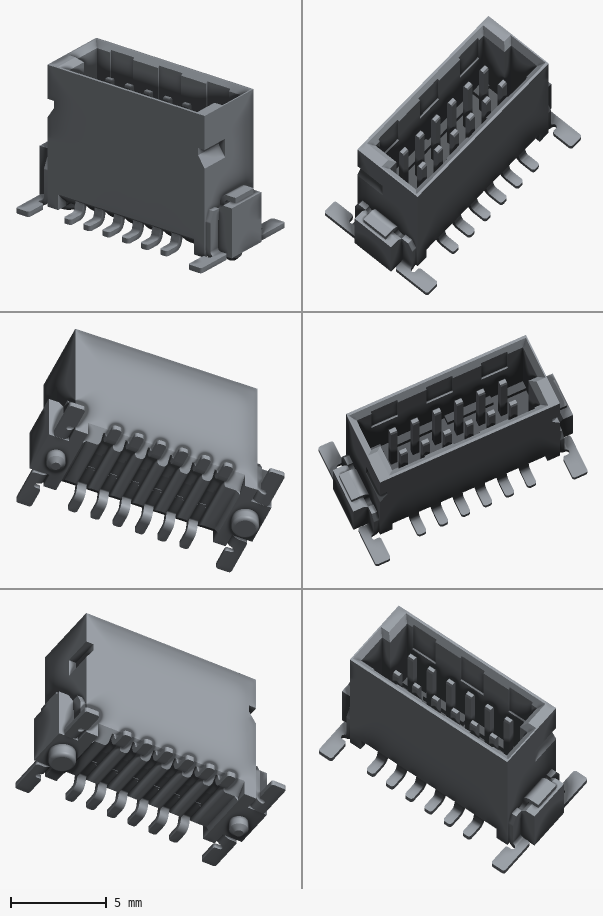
import cadquery as cq
import math

HOUSING_X = 10.36
HOUSING_Y = 4.2
HOUSING_TOP = 8.27
FOOT_BOTTOM = 0.09
HOUSING_HALF_X = HOUSING_X / 2
HOUSING_HALF_Y = HOUSING_Y / 2

CAVITY_HALF_X = 4.79
CAVITY_HALF_Y = 1.63
KEY_HALF_X = 4.27
KEY_EDGE_Y = -0.16
CAVITY_FLOOR = 2.28
RIM_CHAMFER = 0.32

RECESS_STATIONS = (-3.17, 0.0, 3.17)
RECESS_WIDTH = 1.52
RECESS_DEPTH = 0.1
RECESS_BOTTOM = 5.78
LEDGE_DEPTH = 0.42
LEDGE_HEIGHT = 0.38
LEDGE_GAP = 0.53

NOTCH_TOP = 6.31
NOTCH_RAMP_TOP = 5.89
NOTCH_BOTTOM = 5.23
NOTCH_DEPTH = 0.43
NOTCH_INNER_Y = -0.34

FOOT_INNER_X = 4.47
FOOT_CHAMFER_X = 0.2
COMB_BOTTOM = 0.33
SKIRT_BOTTOM = 0.99
SLOT_WIDTH = 0.68
SLOT_TOP = 0.82
SLOT_LIP_RADIUS = 0.19

PITCH = 1.27
CONTACTS_PER_ROW = 6
ROW_Y = PITCH / 2
SHEET = 0.3
PIN_X = 0.38
PIN_Y = 0.33
PIN_TOP = 7.05
PIN_TIP_Y = 0.06
PIN_TIP_Z = 0.13
LEAD_WIDTH = 0.52
LEAD_TIP_Y = 3.04
LEAD_TIP_RADIUS = 0.16
LEAD_SHELF_TOP = 1.09
LEAD_FOOT_Y = 2.1
LEAD_SLOPE = 75.0
LEAD_LOWER_BEND = 0.2
LEAD_UPPER_BEND = 0.08

BLOCK_OUTER_X = 6.34
BLOCK_HALF_Y = 1.27
BLOCK_TOP = 2.96
BLOCK_CHAMFER = 0.28

CLIP_HALF_Y = 2.0
CLIP_TOP = 2.72
CLIP_CORNER_Y = 0.28
CLIP_CORNER_Z = 0.58
CLIP_CORNER_RADIUS = 0.18
CLIP_SLOT_HALF_Y = 1.34
CLIP_SLOT_TOP = 2.07
BEND_INNER = 0.2
BEND_OUTER = BEND_INNER + SHEET
CLIP_OUTER_X = HOUSING_HALF_X + SHEET
TAB_HALF_Y = 0.77
TAB_TOP = 3.35
TAB_END_X = 6.21
PAD_INNER_X = 5.25
PAD_OUTER_X = 6.12
PAD_END_Y = 3.6
PAD_RADIUS = 0.14
RELIEF_RADIUS = 0.14

PEG_X = 5.38
PEG_BOTTOM = -0.67
PEG_EDGE_HEIGHT = 0.25
LARGE_PEG_DIAMETER = 1.45
LARGE_PEG_EDGE_INSET = 0.16
SMALL_PEG_DIAMETER = 1.0

CONTACT_STATIONS = [(i - (CONTACTS_PER_ROW - 1) / 2) * PITCH for i in range(CONTACTS_PER_ROW)]


def block(x0, x1, y0, y1, z0, z1):
    """Axis-aligned box between two opposite corners."""
    return cq.Workplane("XY").box(x1 - x0, y1 - y0, z1 - z0, centered=False).translate((x0, y0, z0))


def extrude_along_x(yz_profile, x0, x1):
    return yz_profile.extrude(x1 - x0).translate((x0, 0, 0))


def extrude_along_y(xz_profile, y0, y1):
    """Extrude a profile drawn on the XZ plane, whose normal is -Y."""
    return xz_profile.extrude(y1 - y0).translate((0, y1, 0))


def both_sides(shape, plane):
    return shape.union(shape.mirror(plane))


def polar(center_a, center_b, radius, degrees):
    angle = math.radians(degrees)
    return (center_a + radius * math.cos(angle), center_b + radius * math.sin(angle))


def cavity_outline(workplane, spread=0):
    """Cavity outline with every side moved outward by the spread."""
    wide_x = CAVITY_HALF_X + spread
    narrow_x = KEY_HALF_X + spread
    half_y = CAVITY_HALF_Y + spread
    key_y = KEY_EDGE_Y - spread
    return workplane.polyline([
        (-wide_x, half_y),
        (-wide_x, key_y),
        (-narrow_x, key_y),
        (-narrow_x, -half_y),
        (narrow_x, -half_y),
        (narrow_x, key_y),
        (wide_x, key_y),
        (wide_x, half_y),
    ]).close()


def cavity():
    """Void of the mating cavity with its flared rim, wall recesses and floor ledges."""
    chamfer_bottom = HOUSING_TOP - RIM_CHAMFER
    void = cavity_outline(cq.Workplane("XY", (0, 0, CAVITY_FLOOR))).extrude(HOUSING_TOP - CAVITY_FLOOR)
    flare = cavity_outline(cq.Workplane("XY", (0, 0, chamfer_bottom)))
    flare = cavity_outline(flare.workplane(offset=RIM_CHAMFER), RIM_CHAMFER).loft(ruled=True)
    void = void.union(flare)
    recess_y = CAVITY_HALF_Y + RECESS_DEPTH
    recess_top = chamfer_bottom + RECESS_DEPTH
    for x in RECESS_STATIONS:
        half = RECESS_WIDTH / 2
        void = void.union(block(x - half, x + half, -recess_y, recess_y, RECESS_BOTTOM, recess_top))
    ledge = block(-CAVITY_HALF_X, CAVITY_HALF_X, CAVITY_HALF_Y - LEDGE_DEPTH, CAVITY_HALF_Y,
                  CAVITY_FLOOR, CAVITY_FLOOR + LEDGE_HEIGHT)
    for x in RECESS_STATIONS:
        half = LEDGE_GAP / 2
        ledge = ledge.cut(block(x - half, x + half, 0, HOUSING_HALF_Y, CAVITY_FLOOR, HOUSING_TOP))
    return void.cut(both_sides(ledge, "XZ"))


def latch_notch():
    """Undercut with a ramped floor in the -X end wall, open to the -Y side."""
    inner_x = -HOUSING_HALF_X + NOTCH_DEPTH
    profile = cq.Workplane("XZ").polyline([
        (-HOUSING_HALF_X, NOTCH_TOP),
        (inner_x, NOTCH_TOP),
        (inner_x, NOTCH_RAMP_TOP),
        (-HOUSING_HALF_X, NOTCH_BOTTOM),
    ]).close()
    return extrude_along_y(profile, -HOUSING_HALF_Y, NOTCH_INNER_Y)


def underside_relief():
    """Recess between the feet, with a 45 degree slope behind each long wall."""
    profile = cq.Workplane("XZ").polyline([
        (-FOOT_INNER_X, FOOT_BOTTOM),
        (-FOOT_INNER_X + FOOT_CHAMFER_X, COMB_BOTTOM),
        (FOOT_INNER_X - FOOT_CHAMFER_X, COMB_BOTTOM),
        (FOOT_INNER_X, FOOT_BOTTOM),
    ]).close()
    relief = extrude_along_y(profile, -HOUSING_HALF_Y, HOUSING_HALF_Y)
    slope_inner_y = HOUSING_HALF_Y - (SKIRT_BOTTOM - COMB_BOTTOM)
    slope = cq.Workplane("YZ").polyline([
        (HOUSING_HALF_Y, SKIRT_BOTTOM),
        (slope_inner_y, COMB_BOTTOM),
        (slope_inner_y, FOOT_BOTTOM),
        (HOUSING_HALF_Y, FOOT_BOTTOM),
    ]).close()
    return relief.union(both_sides(extrude_along_x(slope, -FOOT_INNER_X, FOOT_INNER_X), "XZ"))


def contact_slot(x):
    """Slot across the underside for one pair of contacts, with rounded lips."""
    half = SLOT_WIDTH / 2
    lip = SLOT_LIP_RADIUS
    lip_mid_x, lip_mid_z = polar(half + lip, COMB_BOTTOM + lip, lip, 225)
    profile = (
        cq.Workplane("XZ")
        .moveTo(-half - lip, COMB_BOTTOM)
        .threePointArc((-lip_mid_x, lip_mid_z), (-half, COMB_BOTTOM + lip))
        .lineTo(-half, SLOT_TOP)
        .lineTo(half, SLOT_TOP)
        .lineTo(half, COMB_BOTTOM + lip)
        .threePointArc((lip_mid_x, lip_mid_z), (half + lip, COMB_BOTTOM))
        .close()
    )
    return extrude_along_y(profile, -HOUSING_HALF_Y, HOUSING_HALF_Y).translate((x, 0, 0))


def housing():
    body = block(-HOUSING_HALF_X, HOUSING_HALF_X, -HOUSING_HALF_Y, HOUSING_HALF_Y, FOOT_BOTTOM, HOUSING_TOP)
    body = body.cut(cavity())
    body = body.cut(both_sides(latch_notch(), "YZ"))
    body = body.cut(underside_relief())
    for x in CONTACT_STATIONS:
        body = body.cut(contact_slot(x))
    return body


def contact():
    """One contact of the +Y row: upright pin, shelf under the floor and gull-wing lead."""
    tip_half = PIN_Y / 2 - PIN_TIP_Y
    pin = cq.Workplane("YZ").polyline([
        (ROW_Y - PIN_Y / 2, LEAD_SHELF_TOP - SHEET),
        (ROW_Y - PIN_Y / 2, PIN_TOP - PIN_TIP_Z),
        (ROW_Y - tip_half, PIN_TOP),
        (ROW_Y + tip_half, PIN_TOP),
        (ROW_Y + PIN_Y / 2, PIN_TOP - PIN_TIP_Z),
        (ROW_Y + PIN_Y / 2, LEAD_SHELF_TOP - SHEET),
    ]).close()
    pin = extrude_along_x(pin, -PIN_X / 2, PIN_X / 2)

    rise = LEAD_SHELF_TOP - SHEET
    run = rise / math.tan(math.radians(LEAD_SLOPE))
    underside_shift = SHEET * math.tan(math.radians(LEAD_SLOPE / 2))
    lead = cq.Workplane("YZ").polyline([
        (ROW_Y, LEAD_SHELF_TOP),
        (LEAD_FOOT_Y - run, LEAD_SHELF_TOP),
        (LEAD_FOOT_Y, SHEET),
        (LEAD_TIP_Y, SHEET),
        (LEAD_TIP_Y, 0),
        (LEAD_FOOT_Y - underside_shift, 0),
        (LEAD_FOOT_Y - run - underside_shift, rise),
        (ROW_Y, rise),
    ]).close()
    lead = extrude_along_x(lead, -LEAD_WIDTH / 2, LEAD_WIDTH / 2)
    lead = lead.edges("|Z and >Y").fillet(LEAD_TIP_RADIUS)

    bends = [
        (LEAD_FOOT_Y, SHEET, LEAD_LOWER_BEND),
        (LEAD_FOOT_Y - underside_shift, 0, LEAD_LOWER_BEND + SHEET),
        (LEAD_FOOT_Y - run - underside_shift, rise, LEAD_UPPER_BEND),
        (LEAD_FOOT_Y - run, LEAD_SHELF_TOP, LEAD_UPPER_BEND + SHEET),
    ]
    for y, z, radius in bends:
        bend_edge = cq.selectors.NearestToPointSelector((0, y, z))
        lead = lead.edges(bend_edge).fillet(radius)
    return pin.union(lead)


def end_block():
    """Block outside the clip, joined to the end wall through the clip's slot."""
    outer = block(-BLOCK_OUTER_X, -CLIP_OUTER_X, -BLOCK_HALF_Y, BLOCK_HALF_Y, FOOT_BOTTOM, BLOCK_TOP)
    outer = outer.edges(">X and >Z").chamfer(BLOCK_CHAMFER)
    neck = block(-CLIP_OUTER_X, -HOUSING_HALF_X, -BLOCK_HALF_Y, BLOCK_HALF_Y, FOOT_BOTTOM, CLIP_SLOT_TOP)
    return outer.union(neck)


def clip_plate():
    """Upright plate against the end wall, forked around the block's neck."""
    plate = cq.Workplane("YZ").polyline([
        (-CLIP_HALF_Y, BEND_OUTER),
        (-CLIP_HALF_Y, CLIP_TOP - CLIP_CORNER_Z),
        (-CLIP_HALF_Y + CLIP_CORNER_Y, CLIP_TOP),
        (CLIP_HALF_Y - CLIP_CORNER_Y, CLIP_TOP),
        (CLIP_HALF_Y, CLIP_TOP - CLIP_CORNER_Z),
        (CLIP_HALF_Y, BEND_OUTER),
        (CLIP_SLOT_HALF_Y, BEND_OUTER),
        (CLIP_SLOT_HALF_Y, CLIP_SLOT_TOP),
        (-CLIP_SLOT_HALF_Y, CLIP_SLOT_TOP),
        (-CLIP_SLOT_HALF_Y, BEND_OUTER),
    ]).close()
    plate = extrude_along_x(plate, -CLIP_OUTER_X, -HOUSING_HALF_X)
    middle_x = -(CLIP_OUTER_X + HOUSING_HALF_X) / 2
    for y in (-CLIP_HALF_Y, CLIP_HALF_Y):
        corner = cq.selectors.NearestToPointSelector((middle_x, y, CLIP_TOP - CLIP_CORNER_Z))
        plate = plate.edges(corner).fillet(CLIP_CORNER_RADIUS)
    relief_y = (TAB_HALF_Y + BLOCK_HALF_Y) / 2
    relief_radius = (BLOCK_HALF_Y - TAB_HALF_Y) / 2
    relief_centers = [(-relief_y, CLIP_TOP), (relief_y, CLIP_TOP)]
    reliefs = cq.Workplane("YZ").pushPoints(relief_centers).circle(relief_radius)
    return plate.cut(extrude_along_x(reliefs, -CLIP_OUTER_X, -HOUSING_HALF_X))


def clip_tab():
    """Tab rising from the plate and bent outward over the end block."""
    center_x = -HOUSING_HALF_X - BEND_OUTER
    center_z = TAB_TOP - BEND_OUTER
    profile = (
        cq.Workplane("XZ")
        .moveTo(-HOUSING_HALF_X, CLIP_SLOT_TOP)
        .lineTo(-HOUSING_HALF_X, center_z)
        .threePointArc(polar(center_x, center_z, BEND_OUTER, 45), (center_x, TAB_TOP))
        .lineTo(-TAB_END_X, TAB_TOP)
        .lineTo(-TAB_END_X, TAB_TOP - SHEET)
        .lineTo(center_x, TAB_TOP - SHEET)
        .threePointArc(polar(center_x, center_z, BEND_INNER, 45), (-CLIP_OUTER_X, center_z))
        .lineTo(-CLIP_OUTER_X, CLIP_SLOT_TOP)
        .close()
    )
    return extrude_along_y(profile, -TAB_HALF_Y, TAB_HALF_Y)


def clip_foot():
    """Bend and solder pad at the +Y leg of the clip."""
    bend_x = -HOUSING_HALF_X - BEND_OUTER
    relief_x = bend_x + RELIEF_RADIUS
    relief_y = CLIP_HALF_Y + RELIEF_RADIUS
    pad = (
        cq.Workplane("XY")
        .moveTo(-PAD_OUTER_X, CLIP_SLOT_HALF_Y)
        .lineTo(bend_x, CLIP_SLOT_HALF_Y)
        .lineTo(bend_x, relief_y)
        .threePointArc(polar(relief_x, relief_y, RELIEF_RADIUS, 135), (relief_x, relief_y + RELIEF_RADIUS))
        .lineTo(-PAD_INNER_X, relief_y + RELIEF_RADIUS)
        .lineTo(-PAD_INNER_X, PAD_END_Y)
        .lineTo(-PAD_OUTER_X, PAD_END_Y)
        .close()
        .extrude(SHEET)
        .edges("|Z and (<X or >X)")
        .fillet(PAD_RADIUS)
    )
    bend = (
        cq.Workplane("XZ")
        .moveTo(bend_x, 0)
        .threePointArc(polar(bend_x, BEND_OUTER, BEND_OUTER, -45), (-HOUSING_HALF_X, BEND_OUTER))
        .lineTo(-CLIP_OUTER_X, BEND_OUTER)
        .threePointArc(polar(bend_x, BEND_OUTER, BEND_INNER, -45), (bend_x, SHEET))
        .close()
    )
    bend = extrude_along_y(bend, CLIP_SLOT_HALF_Y, relief_y)
    bend = bend.cut(cq.Workplane("XY").center(relief_x, relief_y).circle(RELIEF_RADIUS).extrude(BEND_OUTER))
    bend = bend.cut(block(relief_x, -HOUSING_HALF_X, CLIP_HALF_Y, relief_y, 0, BEND_OUTER))
    return pad.union(bend)


def large_peg():
    """Round peg with a curved lower edge."""
    radius = LARGE_PEG_DIAMETER / 2
    edge_z = PEG_BOTTOM + PEG_EDGE_HEIGHT
    diagonal = math.sqrt(0.5)
    curve_mid = (
        radius - LARGE_PEG_EDGE_INSET * (1 - diagonal),
        edge_z - PEG_EDGE_HEIGHT * diagonal,
    )
    return (
        cq.Workplane("XZ")
        .moveTo(0, FOOT_BOTTOM)
        .lineTo(radius, FOOT_BOTTOM)
        .lineTo(radius, edge_z)
        .threePointArc(curve_mid, (radius - LARGE_PEG_EDGE_INSET, PEG_BOTTOM))
        .lineTo(0, PEG_BOTTOM)
        .close()
        .revolve(360, (0, 0, 0), (0, 1, 0))
    )


def small_peg():
    """Round peg with a conical lower edge."""
    peg = cq.Workplane("XY").workplane(offset=PEG_BOTTOM).circle(SMALL_PEG_DIAMETER / 2)
    return peg.extrude(FOOT_BOTTOM - PEG_BOTTOM).faces("<Z").chamfer(PEG_EDGE_HEIGHT)


clip = clip_plate().union(clip_tab()).union(both_sides(clip_foot(), "XZ"))
end_fitting = end_block().union(clip)

result = housing().union(both_sides(end_fitting, "YZ"))
contact_pair = both_sides(contact(), "XZ")
for station in CONTACT_STATIONS:
    result = result.union(contact_pair.translate((station, 0, 0)))
result = result.union(large_peg().translate((-PEG_X, 0, 0)))
result = result.union(small_peg().translate((PEG_X, 0, 0)))